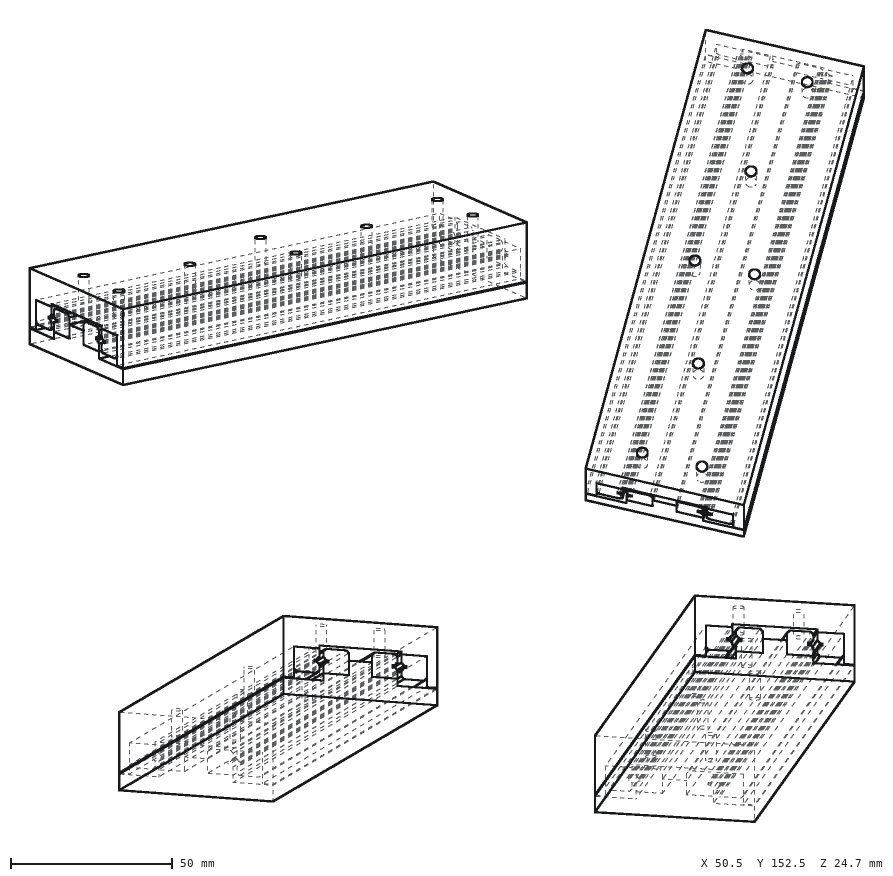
import cadquery as cq

length = 152.5
width = 50.5
height = 24.7

shoulder_height = 5.2
ridge_width = 7.6
ridge_height = 12.0

rail_width = 8.4
rail_bottom = 7.5
rail_height = 7.8
rail_chamfer = 0.84
rail_gap = 1.2
rail_top = rail_bottom + rail_height

groove_depth = 1.2
groove_half_height = 1.3
slit_depth = 1.7
slit_width = 0.6

skirt_clearance = 0.3
table_recess_height = 16.2

hole_diameter = 3.4
hole_pair_spacing = 19.0
hole_row_pitch = 66.8

ridge_half_width = ridge_width / 2
inner_rail_outer_x = ridge_half_width + rail_width
outer_rail_inner_x = inner_rail_outer_x + rail_gap
outer_rail_outer_x = outer_rail_inner_x + rail_width


def extrude_along_travel(profile):
    """Extrude an XZ profile over the full length, centred on Y = 0."""
    return profile.extrude(length / 2, both=True)


def symmetric_prism(right_half):
    """Prism whose profile is the given right half, from axis to axis, mirrored about X = 0."""
    return extrude_along_travel(cq.Workplane("XZ").polyline(right_half).mirrorY())


def make_base():
    return symmetric_prism([
        (0, 0),
        (width / 2, 0),
        (width / 2, shoulder_height),
        (inner_rail_outer_x, shoulder_height),
        (inner_rail_outer_x, rail_bottom),
        (ridge_half_width, rail_bottom),
        (ridge_half_width, ridge_height),
        (0, ridge_height),
    ])


def make_table():
    skirt_bottom = shoulder_height + skirt_clearance
    channel = symmetric_prism([
        (0, height),
        (width / 2, height),
        (width / 2, skirt_bottom),
        (outer_rail_outer_x, skirt_bottom),
        (outer_rail_outer_x, rail_top),
        (outer_rail_inner_x, rail_top),
        (outer_rail_inner_x, table_recess_height),
        (0, table_recess_height),
    ])
    pair_holes = [
        (side * hole_pair_spacing / 2, row * hole_row_pitch)
        for side in (-1, 1)
        for row in (-1, 0, 1)
    ]
    centre_holes = [(0, side * hole_row_pitch / 2) for side in (-1, 1)]
    return (
        channel.faces(">Z").workplane(origin=(0, 0, height))
        .pushPoints(pair_holes + centre_holes)
        .hole(hole_diameter)
    )


def make_rail():
    """Rail with its seat on Z = 0, its back on X = 0 and its raceway facing +X."""
    mid_height = rail_height / 2
    body = extrude_along_travel(
        cq.Workplane("XZ").rect(rail_width, rail_height, centered=False)
    )
    body = body.faces(">Z").edges("|Y").chamfer(rail_chamfer)
    groove = extrude_along_travel(
        cq.Workplane("XZ").polyline([
            (rail_width, mid_height - groove_half_height),
            (rail_width - groove_depth, mid_height),
            (rail_width, mid_height + groove_half_height),
        ]).close()
    )
    slit = extrude_along_travel(
        cq.Workplane("XZ")
        .center(rail_width - slit_depth / 2, mid_height)
        .rect(slit_depth, slit_width)
    )
    return body.cut(groove).cut(slit)


def make_inner_rail(side):
    """Rail standing on the base pedestal, raceway facing outward."""
    rail = make_rail().translate((ridge_half_width, 0, rail_bottom))
    return rail if side > 0 else rail.mirror("YZ")


def make_outer_rail(side):
    """Rail hanging upside down in the table, raceway facing inward."""
    rail = (
        make_rail()
        .rotate((0, 0, 0), (0, 1, 0), 180)
        .translate((outer_rail_outer_x, 0, rail_top))
    )
    return rail if side > 0 else rail.mirror("YZ")


base = make_base()
table = make_table()
inner_rails = [make_inner_rail(side) for side in (-1, 1)]
outer_rails = [make_outer_rail(side) for side in (-1, 1)]

result = cq.Compound.makeCompound(
    [base.val(), table.val()] + [rail.val() for rail in inner_rails + outer_rails]
)